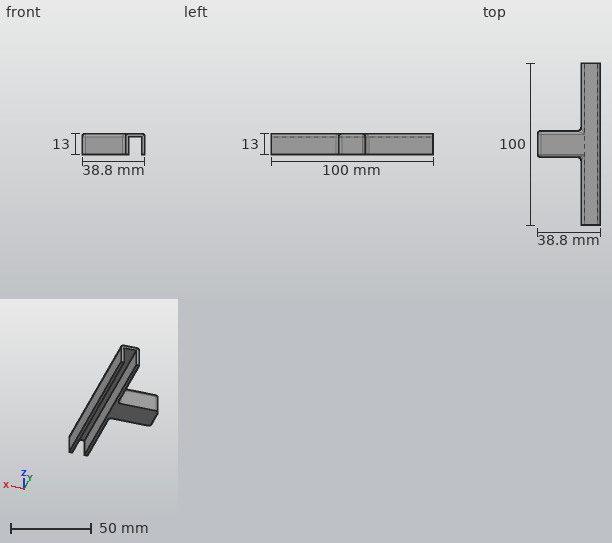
import cadquery as cq

bar_length = 100
bar_width = 12
height = 13
wall = 2

total_width = 38.8
arm_width = 16.4
round_radius = 2

arm_reach = total_width - bar_width

bar = cq.Workplane("XY").box(bar_width, bar_length, height, centered=(False, True, False))
arm = (
    cq.Workplane("XY")
    .box(arm_reach, arm_width, height, centered=(False, True, False))
    .translate((-arm_reach, 0, 0))
)
body = bar.union(arm)

arm_end_corners = body.edges("|Z").edges("<X")
body = arm_end_corners.fillet(round_radius)

body = body.faces(">Z").edges("not(<Y or >Y)").fillet(round_radius)

junction_corners = cq.selectors.BoxSelector(
    (-wall / 2, -bar_length / 4, 0), (wall / 2, bar_length / 4, height)
)
body = body.edges(junction_corners).edges("|Z").fillet(round_radius)

channel = (
    cq.Workplane("XY")
    .box(bar_width - 2 * wall, bar_length, height - wall, centered=(False, True, False))
    .translate((wall, 0, 0))
)
result = body.cut(channel)